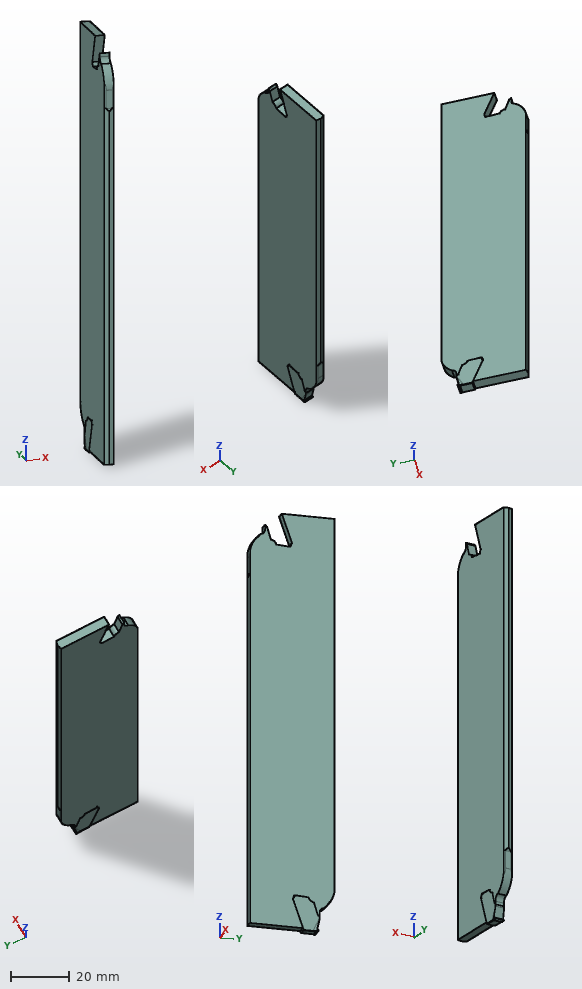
import cadquery as cq
import math

BLADE_THICKNESS = 3.5
BLADE_DEPTH = 31.1
BLADE_HEIGHT = 150.0
V_DEPTH = 0.5
blade_half_height = BLADE_HEIGHT / 2
blade_half_depth = BLADE_DEPTH / 2

INSERT_WIDTH = 4.0
INSERT_OVERHANG = 1.0
insert_bottom = -(blade_half_height + INSERT_OVERHANG)

WALL_LEAN = math.radians(19.5)
WALL_TOP = (0.2, -64.6)
POCKET_CORNER = (0.8, -63.3)
FLOOR_END = (5.7, -63.5)
CORNER_GAP = 0.2
JAW_TOP = (7.7, -65.2)
JAW_CURVE_RISE = 0.38
JAW_BOTTOM = (9.0, -69.6)
JAW_TIP = (9.8, -70.4)

TIP_BASE = (9.8, -69.2)
TIP_CURVE_RISE = 0.53
ROUND_START = (11.3, -66.9)
ROUND_END_Z = -58.6
ROUND_RISE = 1.13
FLAT_DEPTH = 0.3
FLAT_END_Z = -52.1
RAMP_LENGTH = 1.2
flat_y = blade_half_depth - FLAT_DEPTH

FRONT_TOP = (9.8, -71.0)
LIP_ROOT = (8.9, -74.9)
LIP_POINT = (9.4, -75.3)
LIP_BOTTOM = (8.9, insert_bottom)
LIP_BACK_Y = 8.5
LIP_HEIGHT = 0.3
underside_z = insert_bottom + LIP_HEIGHT

FLANK_LINE_TOP = (9.5, -71.0)
FLANK_LINE_BOTTOM = (7.4, -75.3)

BEVEL_WIDTH = 0.5
BEVEL_HEIGHT = 0.3

CLEARANCE = 4.5


def wall_point(z):
    """Point of the leaning pocket wall at height z."""
    return (WALL_TOP[0] + (WALL_TOP[1] - z) * math.tan(WALL_LEAN), z)


def pocket_path(wall_bottom_z, corner_gap):
    """Open path up the wall, along the floor and down the jaw, pulled in at the corner by the gap."""
    corner = (POCKET_CORNER[0] + corner_gap, POCKET_CORNER[1] - corner_gap)
    return (
        cq.Workplane("YZ")
        .moveTo(*wall_point(wall_bottom_z))
        .lineTo(*wall_point(WALL_TOP[1] - corner_gap))
        .lineTo(*corner)
        .lineTo(*FLOOR_END)
        .sagittaArc(JAW_TOP, -JAW_CURVE_RISE)
        .lineTo(*JAW_BOTTOM)
        .lineTo(*JAW_TIP)
    )


def make_end_cut():
    """Everything removed from the bar at its lower end: pocket, jaw relief and V flat."""
    outer_y = blade_half_depth + CLEARANCE
    outer_z = -blade_half_height - CLEARANCE
    ramp_end_z = FLAT_END_Z + RAMP_LENGTH
    return (
        pocket_path(outer_z, 0)
        .lineTo(*TIP_BASE)
        .sagittaArc(ROUND_START, TIP_CURVE_RISE)
        .sagittaArc((flat_y, ROUND_END_Z), -ROUND_RISE)
        .lineTo(flat_y, FLAT_END_Z)
        .lineTo(blade_half_depth, ramp_end_z)
        .lineTo(outer_y, ramp_end_z)
        .lineTo(outer_y, outer_z)
        .close()
        .extrude(BLADE_THICKNESS, both=True)
    )


def make_blade():
    """Bar with a six-sided section, cut alike at both ends."""
    half_thickness = BLADE_THICKNESS / 2
    shoulder = blade_half_depth - V_DEPTH
    bar = (
        cq.Workplane("XY")
        .polyline([
            (half_thickness, shoulder),
            (0, blade_half_depth),
            (-half_thickness, shoulder),
            (-half_thickness, -shoulder),
            (0, -blade_half_depth),
            (half_thickness, -shoulder),
        ])
        .close()
        .extrude(blade_half_height, both=True)
    )
    end_cut = make_end_cut()
    return bar.cut(end_cut).cut(end_cut.rotate((0, 0, 0), (1, 0, 0), 180))


def make_flank_section():
    """Solid that is blade-thick behind the flank line and widens evenly to the lip point."""
    along_y = FLANK_LINE_BOTTOM[0] - FLANK_LINE_TOP[0]
    along_z = FLANK_LINE_BOTTOM[1] - FLANK_LINE_TOP[1]
    length = math.hypot(along_y, along_z)
    out_y = -along_z / length
    out_z = along_y / length
    reach = (LIP_POINT[0] - FLANK_LINE_TOP[0]) * out_y + (LIP_POINT[1] - FLANK_LINE_TOP[1]) * out_z
    thin = BLADE_THICKNESS / 2
    wide = INSERT_WIDTH / 2
    section_plane = cq.Plane(
        origin=(0, FLANK_LINE_TOP[0], FLANK_LINE_TOP[1]),
        xDir=(1, 0, 0),
        normal=(0, along_y / length, along_z / length),
    )
    return (
        cq.Workplane(section_plane)
        .polyline([
            (-thin, BLADE_DEPTH),
            (thin, BLADE_DEPTH),
            (thin, 0),
            (wide, -reach),
            (-wide, -reach),
            (-thin, 0),
        ])
        .close()
        .extrude(BLADE_DEPTH, both=True)
    )


def make_bevel_cut():
    """Four-sided bar that bevels the lower edge on the +X side."""
    half_width = INSERT_WIDTH / 2
    return (
        cq.Workplane("XZ")
        .polyline([
            (half_width - BEVEL_WIDTH, underside_z),
            (half_width, underside_z + BEVEL_HEIGHT),
            (half_width, insert_bottom),
            (half_width - BEVEL_WIDTH, insert_bottom),
        ])
        .close()
        .extrude(-BLADE_DEPTH)
    )


def make_insert():
    """Insert that fills the lower pocket and stands proud of the blade's end."""
    body = (
        pocket_path(underside_z, CORNER_GAP)
        .lineTo(*FRONT_TOP)
        .lineTo(*LIP_ROOT)
        .lineTo(*LIP_POINT)
        .lineTo(*LIP_BOTTOM)
        .lineTo(LIP_BACK_Y, underside_z)
        .close()
        .extrude(INSERT_WIDTH / 2, both=True)
        .intersect(make_flank_section())
    )
    bevel_cut = make_bevel_cut()
    return body.cut(bevel_cut).cut(bevel_cut.mirror("YZ"))


blade = make_blade()
insert = make_insert()
result = cq.Compound.makeCompound([blade.val(), insert.val()])